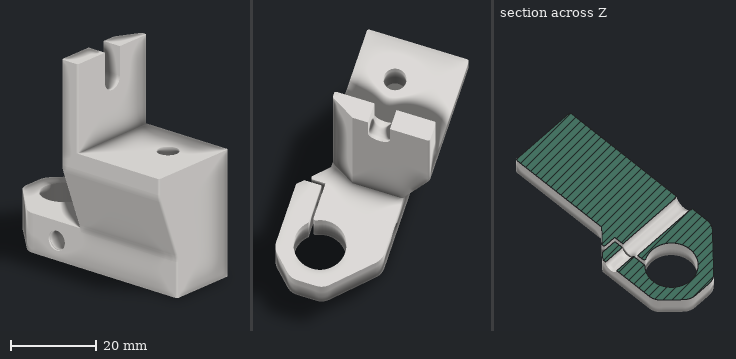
import cadquery as cq
import math


clamp_height = 10.0
clamp_reach = 10.0
clamp_front_y = -15.0
clamp_corner_radius = 4.0
corner_cut = 6.0
bore_radius = 6.2
lip_radius = 0.5

slit_width = 0.75
prong_left_x = 15.0
prong_tip_y = 7.8
prong_tip_radius = 0.5
arm_end_x = prong_left_x - slit_width
arm_chamfer = 1.5

screw_x = 10.0
screw_z = clamp_height / 2
screw_clearance_diameter = 3.5
screw_insert_diameter = 4.7
screw_lead_in_diameter = 5.0
screw_lead_in_depth = 0.5

block_left_x = 17.0
block_length = 30.0
block_depth = 25.0
block_rear_y = 3.5
block_height = 32.0
block_rim_height = 5.0
plate_thickness = 5.0
plate_height = 54.5
slope_bend_radius = 5.0
edge_radius = 0.5
bevel_depth = 6.0
bevel_angle = 60.0

slot_width = 5.4
slot_center_depth = 7.5
hole_diameter = 5.4
hole_depth = 10.0
hole_from_right = 10.0
hole_from_front = 15.0

block_front_y = block_rear_y - block_depth
slope_top_z = block_height - block_rim_height
bevel_length = bevel_depth / math.tan(math.radians(bevel_angle))
slit_rear_y = block_rear_y + slit_width
prong_right_x = prong_left_x + prong_tip_y - block_rear_y


def edge_at(x, y, z):
    """Selector for the edge whose centre lies nearest to a point."""
    return cq.selectors.NearestToPointSelector((x, y, z))


def clamp_outline():
    """Clamp plate, with the outer corners rounded."""
    cut_end = clamp_reach - corner_cut
    front_cut_x = -clamp_front_y - clamp_reach - cut_end
    plate = (
        cq.Workplane("XY")
        .moveTo(-clamp_reach, cut_end)
        .lineTo(-cut_end, clamp_reach)
        .lineTo(arm_end_x - arm_chamfer, clamp_reach)
        .lineTo(arm_end_x, clamp_reach - arm_chamfer)
        .lineTo(arm_end_x, block_rear_y)
        .lineTo(prong_left_x, block_rear_y)
        .lineTo(prong_left_x, prong_tip_y)
        .lineTo(prong_right_x, block_rear_y)
        .lineTo(block_left_x + plate_thickness, block_rear_y)
        .lineTo(block_left_x + plate_thickness, clamp_front_y)
        .lineTo(front_cut_x, clamp_front_y)
        .lineTo(-clamp_reach, -cut_end)
        .close()
        .extrude(clamp_height)
    )
    rounded_corners = [
        (-clamp_reach, cut_end),
        (-cut_end, clamp_reach),
        (front_cut_x, clamp_front_y),
        (-clamp_reach, -cut_end),
    ]
    for x, y in rounded_corners:
        plate = plate.edges(edge_at(x, y, clamp_height / 2)).fillet(clamp_corner_radius)
    return plate.edges(edge_at(prong_left_x, prong_tip_y, clamp_height / 2)).fillet(prong_tip_radius)


def clamp():
    """Clamp plate with its bore and the slit that frees the arm."""
    slit = (
        cq.Workplane("XY")
        .moveTo(0, block_rear_y)
        .lineTo(arm_end_x, block_rear_y)
        .lineTo(arm_end_x, slit_rear_y)
        .lineTo(0, slit_rear_y)
        .close()
        .extrude(clamp_height)
    )
    bore = cq.Workplane("XY").circle(bore_radius).extrude(clamp_height)
    body = clamp_outline().cut(bore).cut(slit)
    for y in (block_rear_y, slit_rear_y):
        lip_x = math.sqrt(bore_radius**2 - y**2)
        body = body.edges(edge_at(lip_x, y, clamp_height / 2)).fillet(lip_radius)
    return body


def along_y(diameter, start_y, end_y):
    """Cylinder on the clamp screw axis."""
    return (
        cq.Workplane("XZ", origin=(screw_x, start_y, screw_z))
        .circle(diameter / 2)
        .extrude(start_y - end_y)
    )


def screw_hole():
    """Insert bore up to the slit, then clearance through the arm."""
    clearance = along_y(screw_clearance_diameter, clamp_front_y, clamp_reach)
    insert = along_y(screw_insert_diameter, clamp_front_y, block_rear_y)
    lead_in = along_y(screw_lead_in_diameter, clamp_front_y, clamp_front_y + screw_lead_in_depth)
    return clearance.union(insert).union(lead_in)


def sloped_column(length, height):
    """Upright with a sloped front, a bevelled rear left edge and rounded upright edges."""
    right_x = block_left_x + length
    column = (
        cq.Workplane("YZ", origin=(block_left_x, 0, 0))
        .moveTo(block_rear_y, 0)
        .lineTo(clamp_front_y, 0)
        .lineTo(clamp_front_y, clamp_height)
        .lineTo(block_front_y, slope_top_z)
        .lineTo(block_front_y, height)
        .lineTo(block_rear_y, height)
        .close()
        .extrude(length)
    )
    middle_x = block_left_x + length / 2
    for y, z in ((clamp_front_y, clamp_height), (block_front_y, slope_top_z)):
        column = column.edges(edge_at(middle_x, y, z)).fillet(slope_bend_radius)

    bevel = (
        cq.Workplane("XY")
        .moveTo(block_left_x, block_rear_y)
        .lineTo(block_left_x, block_rear_y - bevel_depth)
        .lineTo(block_left_x + bevel_length, block_rear_y)
        .close()
        .extrude(height)
    )
    column = column.cut(bevel)

    upright_edges = [
        (block_left_x, clamp_front_y, clamp_height / 2),
        (right_x, clamp_front_y, clamp_height / 2),
        (right_x, block_rear_y, height / 2),
        (block_left_x, block_rear_y - bevel_depth, height / 2),
        (block_left_x + bevel_length, block_rear_y, height / 2),
    ]
    for x, y, z in upright_edges:
        column = column.edges(edge_at(x, y, z)).fillet(edge_radius)
    return column


def plate_slot():
    """Round-bottomed slot, open at the top of the upright plate."""
    center_y = block_rear_y - block_depth / 2
    center_z = plate_height - slot_center_depth
    return (
        cq.Workplane("YZ", origin=(block_left_x, 0, 0))
        .moveTo(center_y - slot_width / 2, plate_height)
        .lineTo(center_y - slot_width / 2, center_z)
        .threePointArc((center_y, center_z - slot_width / 2), (center_y + slot_width / 2, center_z))
        .lineTo(center_y + slot_width / 2, plate_height)
        .close()
        .extrude(plate_thickness)
    )


def block_hole():
    """Blind hole in the top of the block."""
    x = block_left_x + block_length - hole_from_right
    y = block_front_y + hole_from_front
    return (
        cq.Workplane("XY", origin=(x, y, block_height - hole_depth))
        .circle(hole_diameter / 2)
        .extrude(hole_depth)
    )


block = sloped_column(block_length, block_height)
upright_plate = sloped_column(plate_thickness, plate_height)
result = (
    block.union(upright_plate)
    .union(clamp())
    .cut(screw_hole())
    .cut(plate_slot())
    .cut(block_hole())
)